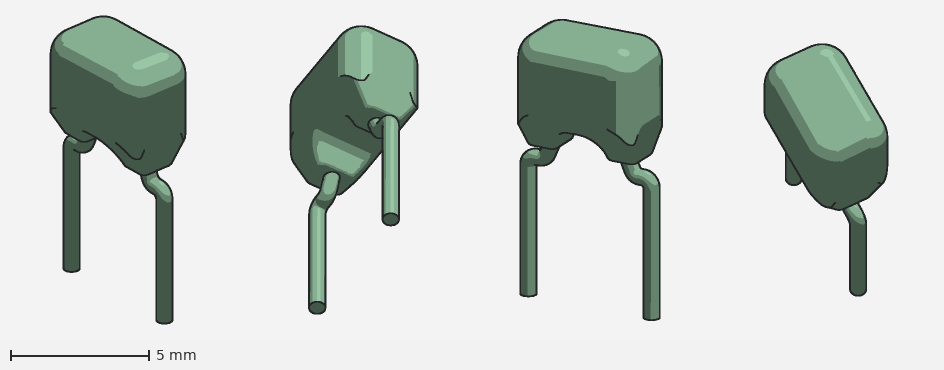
import cadquery as cq
import math

body_width = 5.0
body_depth = 3.21
body_top = 10.5
body_bottom = 6.02
body_radius = 1.0
taper_top = 7.58
face_taper_angle = 30.0
end_taper_angle = 8.5
edge_radius = 0.3
foot_radius = 0.2

arch_half_width = 0.99
arch_height = 0.97
arch_radius = 0.78

lead_diameter = 0.6
lead_spacing = 5.08
bend_radius = 0.35
straight_top = 5.0
jog_length = 0.13
upper_turn_angle = 67.0
embedded_length = 0.95


def half_width_at(z, full_width, taper_angle):
    """Distance from the middle plane to a sloping side at height z."""
    return full_width / 2 - (taper_top - z) * math.tan(math.radians(taper_angle))


def wedge(plane, full_width, taper_angle):
    """Long prism bounded by the two sloping sides, carried up to the body top."""
    foot = half_width_at(body_bottom, full_width, taper_angle)
    head = half_width_at(body_top, full_width, taper_angle)
    points = [(-foot, body_bottom), (foot, body_bottom), (head, body_top), (-head, body_top)]
    return cq.Workplane(plane).polyline(points).close().extrude(body_width, both=True)


def creased_prism(plane, full_width, taper_angle):
    """Long prism with upright sides, rounded creases and sloping sides below them."""
    half = full_width / 2
    foot = half_width_at(body_bottom, full_width, taper_angle)
    points = [
        (-foot, body_bottom),
        (foot, body_bottom),
        (half, taper_top),
        (half, body_top),
        (-half, body_top),
        (-half, taper_top),
    ]
    prism = cq.Workplane(plane).polyline(points).close().extrude(body_width, both=True)
    around_creases = cq.selectors.BoxSelector(
        (-body_width, -body_width, taper_top - edge_radius),
        (body_width, body_width, taper_top + edge_radius),
    )
    return prism.edges(around_creases).fillet(edge_radius)


def tapered_block():
    """Block tapering on all four sides, with rounded creases and sloping corners."""
    sloping_corners = (
        wedge("XZ", body_width, end_taper_angle)
        .intersect(wedge("YZ", body_depth, face_taper_angle))
        .edges("not(|X or |Y)")
        .fillet(edge_radius)
    )
    return sloping_corners.intersect(creased_prism("XZ", body_width, end_taper_angle)).intersect(
        creased_prism("YZ", body_depth, face_taper_angle)
    )


def rounded_block():
    """Envelope with large radii on its upright and top edges."""
    return (
        cq.Workplane("XY", origin=(0, 0, body_bottom))
        .rect(body_width, body_depth)
        .extrude(body_top - body_bottom)
        .edges("|Z or >Z")
        .fillet(body_radius)
    )


def arch_cutter():
    """Round-cornered tunnel through the body, running along Y."""
    return (
        cq.Workplane("XY", origin=(0, 0, body_bottom))
        .box(2 * arch_half_width, 2 * body_depth, 2 * arch_height)
        .edges("|Y")
        .fillet(arch_radius)
    )


def make_body():
    body = tapered_block().intersect(rounded_block()).cut(arch_cutter())
    arch_roof = cq.selectors.NearestToPointSelector((0, 0, body_bottom + arch_height))
    body = body.faces(arch_roof).edges("|X").fillet(edge_radius)
    return body.faces("<Z").edges().fillet(foot_radius)


def make_lead():
    """Lead on the +X side, bent inwards and then up into the body."""
    turn = math.radians(upper_turn_angle)
    lead_x = lead_spacing / 2
    jog_z = straight_top + bend_radius
    path = (
        cq.Workplane("XZ", origin=(lead_x, 0, 0))
        .lineTo(0, straight_top)
        .radiusArc((-bend_radius, jog_z), -bend_radius)
        .line(-jog_length, 0)
    )
    bend_end = (
        -bend_radius - jog_length - bend_radius * math.sin(turn),
        jog_z + bend_radius * (1 - math.cos(turn)),
    )
    path = path.radiusArc(bend_end, bend_radius).line(
        -embedded_length * math.cos(turn), embedded_length * math.sin(turn)
    )
    return cq.Workplane("XY", origin=(lead_x, 0, 0)).circle(lead_diameter / 2).sweep(path)


lead = make_lead()
result = make_body().union(lead).union(lead.mirror("YZ"))